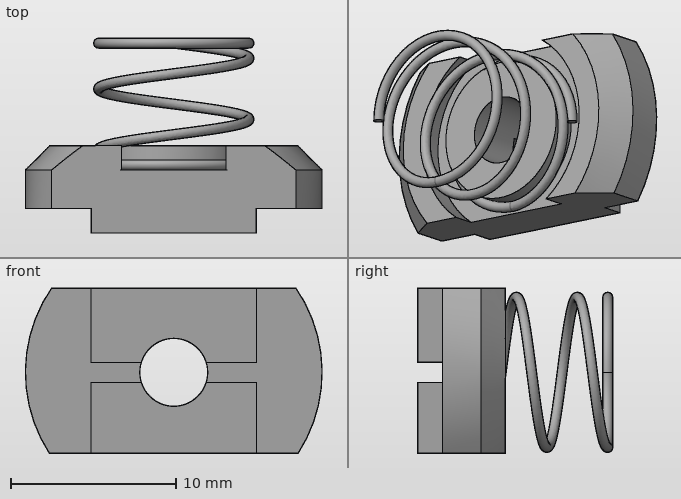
import cadquery as cq


nut_radius = 8.98
nut_top = 5.1
nut_bottom = -4.9
pad_depth = 1.49
rim_depth = 2.33
chamfer = 1.47
nut_depth = pad_depth + rim_depth + chamfer
pad_width = 10.0
slot_width = 1.2
bore_radius = 2.05

wire_radius = 0.3
coil_radius = 4.55
assembly_depth = 11.8
active_turns = 2
flat_sweep = 270.0

seat_outer_radius = 6.0
seat_inner_radius = coil_radius - wire_radius
seat_depth = chamfer
seat_floor = nut_depth - seat_depth

back_coil_y = assembly_depth - wire_radius
front_coil_y = seat_floor + wire_radius
spring_pitch = (back_coil_y - front_coil_y) / active_turns


def cylinder_along_y(radius, start, length):
    """Solid cylinder about the Y axis, running from y = start toward +Y."""
    return cq.Workplane(cq.Solid.makeCylinder(
        radius, length, cq.Vector(0, start, 0), cq.Vector(0, 1, 0)))


def box_between(width, y_start, y_end, z_start, z_end):
    """Box centred on x = 0 between the given Y and Z limits."""
    return (
        cq.Workplane("XY")
        .box(width, y_end - y_start, z_end - z_start, centered=(True, False, False))
        .translate((0, y_start, z_start))
    )


def make_nut():
    disc = cylinder_along_y(nut_radius, pad_depth, nut_depth - pad_depth)
    disc = disc.faces(">Y").edges().chamfer(chamfer)
    body = disc.intersect(
        box_between(2 * nut_radius, pad_depth, nut_depth, nut_bottom, nut_top))

    pad = box_between(pad_width, 0, pad_depth, nut_bottom, nut_top)
    slot = box_between(pad_width, 0, pad_depth, -slot_width / 2, slot_width / 2)
    body = body.union(pad.cut(slot))

    seat = cylinder_along_y(seat_outer_radius, seat_floor, seat_depth)
    seat = seat.cut(cylinder_along_y(seat_inner_radius, seat_floor, seat_depth))
    return body.cut(seat).cut(cylinder_along_y(bore_radius, 0, nut_depth))


def wire_section(y):
    """Wire circle in the YZ plane at the lowest point of a coil."""
    return cq.Workplane("YZ").center(y, -coil_radius).circle(wire_radius)


def flat_coil(y, sweep):
    """Planar coil starting at the lowest point; the sign of sweep sets its direction."""
    axis_end = (1, coil_radius) if sweep > 0 else (-1, coil_radius)
    return wire_section(y).revolve(abs(sweep), (0, coil_radius), axis_end)


def active_coils():
    """Helical coils rising toward +Y from the lowest point of the front flat coil."""
    helix = cq.Wire.makeHelix(
        spring_pitch, spring_pitch * active_turns, coil_radius,
        cq.Vector(0, 0, 0), cq.Vector(0, 0, 1))
    path = (
        helix.rotate(cq.Vector(0, 0, 0), cq.Vector(1, 0, 0), -90)
        .rotate(cq.Vector(0, 0, 0), cq.Vector(0, 1, 0), 90)
        .translate(cq.Vector(0, front_coil_y, 0))
    )
    return wire_section(front_coil_y).sweep(cq.Workplane(path), isFrenet=True)


def make_spring():
    front_coil = flat_coil(front_coil_y, -flat_sweep)
    back_coil = flat_coil(back_coil_y, flat_sweep)
    return active_coils().union(front_coil).union(back_coil)


nut = make_nut()
spring = make_spring()

result = cq.Compound.makeCompound([nut.solids().val(), spring.solids().val()])